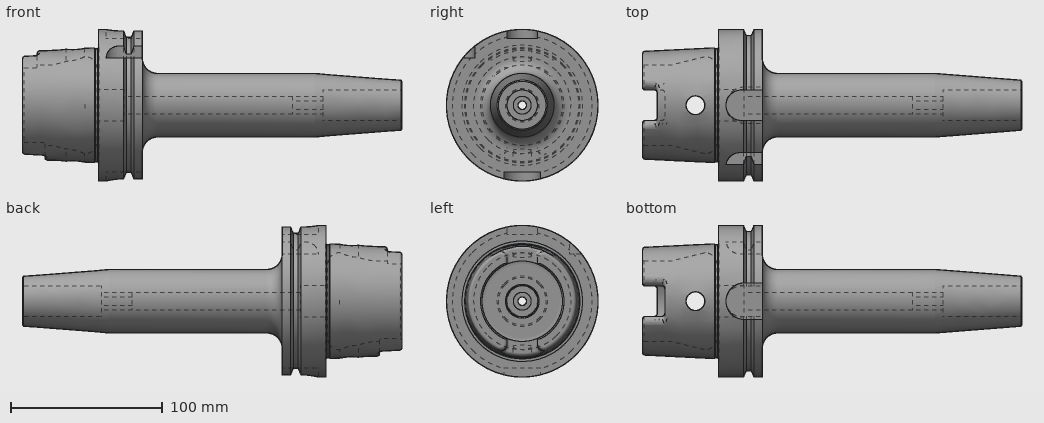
import cadquery as cq
import math


shank_length = 50.0
shank_end_radius = 35.5
taper_slope = 0.05
shank_end_round = 1.8

relief_length = 2.7
relief_radius = 37.3
relief_chamfer = 0.8
relief_land = 1.2
recess_depth = 0.4
recess_inner_radius = 38.0
recess_outer_radius = 39.7

flange_radius = 50.0
flange_width = 29.0
groove_position = 20.0
groove_mouth_width = 6.8
groove_throat_width = 4.2
groove_throat_radius = 46.8
groove_floor_width = 3.2
groove_floor_radius = 46.0

nose_length = 200.0
neck_radius = 21.0
neck_fillet = 10.0
tip_radius = 16.5
tip_taper_angle = 4.5
tip_chamfer = 0.8

mouth_radius = 26.5
mouth_chamfer = 1.0
clamp_edge_depth = 19.0
undercut_radius = 32.0
cavity_depth = 49.0
cavity_fillet = 7.7
coolant_seat_radius = 10.3
coolant_seat_depth = 18.0
coolant_seat_chamfer = 0.8

tool_bore_radius = 10.0
tool_bore_depth = 52.0
screw_radius = 5.9
screw_length = 20.0
screw_hole_radius = 2.75

drive_slot_width = 20.0
upper_slot_depth = 9.7
lower_slot_depth = 14.7
drive_slot_mouth_round = 4.0
drive_slot_floor_round = 2.0

cross_hole_x = -15.1
cross_hole_radius = 6.1

pocket_start_x = 5.0
pocket_floor_height = 44.0
upper_pocket_width = 20.0
lower_pocket_width = 24.0
notch_offset = 31.25
notch_corner_radius = 9.0

cavity_floor_x = cavity_depth - shank_length
seat_floor_x = cavity_floor_x + coolant_seat_depth
tool_bore_floor_x = nose_length - tool_bore_depth
screw_start_x = tool_bore_floor_x - screw_length

selection_margin = 0.01
arc_middle = math.sqrt(0.5)


def spin_about_x(profile):
    return profile.close().revolve(360, (0, 0, 0), (1, 0, 0))


def rod(start_x, length, radius):
    return cq.Workplane("YZ").workplane(offset=start_x).circle(radius).extrude(length)


def turned_blank():
    """Solid of revolution: taper shank, relief, grooved flange, neck and tapered tip."""
    taper_end_radius = shank_end_radius + taper_slope * (shank_length - relief_length)
    relief_start_x = relief_chamfer - relief_length
    tip_taper_length = (neck_radius - tip_radius) / math.tan(math.radians(tip_taper_angle))
    fillet_sag = neck_fillet * (1 - arc_middle)
    profile = (
        cq.Workplane("XY")
        .moveTo(-shank_length, 0)
        .lineTo(-shank_length, shank_end_radius)
        .lineTo(-relief_length, taper_end_radius)
        .lineTo(relief_start_x, relief_radius)
        .lineTo(relief_start_x + relief_land, relief_radius)
        .lineTo(recess_depth, recess_inner_radius)
        .lineTo(recess_depth, recess_outer_radius)
        .lineTo(0, recess_outer_radius)
        .lineTo(0, flange_radius)
        .lineTo(groove_position - groove_mouth_width / 2, flange_radius)
        .lineTo(groove_position - groove_throat_width / 2, groove_throat_radius)
        .lineTo(groove_position - groove_floor_width / 2, groove_floor_radius)
        .lineTo(groove_position + groove_floor_width / 2, groove_floor_radius)
        .lineTo(groove_position + groove_throat_width / 2, groove_throat_radius)
        .lineTo(groove_position + groove_mouth_width / 2, flange_radius)
        .lineTo(flange_width, flange_radius)
        .lineTo(flange_width, neck_radius + neck_fillet)
        .threePointArc(
            (flange_width + fillet_sag, neck_radius + fillet_sag),
            (flange_width + neck_fillet, neck_radius),
        )
        .lineTo(nose_length - tip_taper_length, neck_radius)
        .lineTo(nose_length, tip_radius)
        .lineTo(nose_length, 0)
    )
    return spin_about_x(profile).faces(">X").chamfer(tip_chamfer)


def drive_slot(depth, side):
    """Square slot in the shank end, above the axis for side 1 and below it for side -1."""
    return (
        cq.Workplane("XY")
        .box(depth, drive_slot_width, flange_radius, centered=(False, True, True))
        .translate((-shank_length, 0, side * flange_radius / 2))
    )


def slot_floor_side(depth, side):
    """Selector for the edges of a slot floor that lie along its wall on one side."""
    floor_x = depth - shank_length
    near_y = side * drive_slot_width / 4
    far_y = side * drive_slot_width
    return cq.selectors.BoxSelector(
        (floor_x - selection_margin, near_y, -flange_radius),
        (floor_x + selection_margin, far_y, flange_radius),
    )


def with_drive_slots(body):
    """Cut both slots while the shank is solid, then round their mouths, floors and end edges."""
    slotted = body.cut(drive_slot(upper_slot_depth, 1)).cut(drive_slot(lower_slot_depth, -1))
    mouth_rounded = slotted.edges("%HYPERBOLA").fillet(drive_slot_mouth_round)
    floor_corners = []
    for depth in (upper_slot_depth, lower_slot_depth):
        for side in (1, -1):
            floor_corners += mouth_rounded.edges(slot_floor_side(depth, side)).vals()
    floor_rounded = mouth_rounded.newObject(floor_corners).fillet(drive_slot_floor_round)
    return floor_rounded.faces("<X").edges().fillet(shank_end_round)


def clamping_cavity():
    """Shank bore that opens into an undercut, with a rounded floor and the coolant seat."""
    fillet_sag = cavity_fillet * (1 - arc_middle)
    profile = (
        cq.Workplane("XY")
        .moveTo(-shank_length, 0)
        .lineTo(-shank_length, mouth_radius + mouth_chamfer)
        .lineTo(mouth_chamfer - shank_length, mouth_radius)
        .lineTo(clamp_edge_depth - shank_length, mouth_radius)
        .lineTo(cavity_floor_x - cavity_fillet, undercut_radius)
        .threePointArc(
            (cavity_floor_x - fillet_sag, undercut_radius - fillet_sag),
            (cavity_floor_x, undercut_radius - cavity_fillet),
        )
        .lineTo(cavity_floor_x, coolant_seat_radius + coolant_seat_chamfer)
        .lineTo(cavity_floor_x + coolant_seat_chamfer, coolant_seat_radius)
        .lineTo(seat_floor_x, coolant_seat_radius)
        .lineTo(seat_floor_x, 0)
    )
    return spin_about_x(profile)


def cross_hole():
    return (
        cq.Workplane("XY")
        .center(cross_hole_x, 0)
        .circle(cross_hole_radius)
        .extrude(flange_radius, both=True)
    )


def flange_pocket(width):
    """Flat pocket in the top of the rim, round toward the shank and open toward the nose."""
    end_radius = width / 2
    round_centre_x = pocket_start_x + end_radius
    return (
        cq.Workplane("XY")
        .workplane(offset=pocket_floor_height)
        .moveTo(flange_width, end_radius)
        .lineTo(round_centre_x, end_radius)
        .threePointArc((pocket_start_x, 0), (round_centre_x, -end_radius))
        .lineTo(flange_width, -end_radius)
        .close()
        .extrude(flange_radius - pocket_floor_height)
    )


def orientation_notch():
    """Right-angled notch in the upper -Y part of the rim, with a rounded inner corner."""
    wall_y = -notch_offset
    corner_x = pocket_start_x + notch_corner_radius
    arc_sag = notch_corner_radius * (1 - arc_middle)
    return (
        cq.Workplane("XY")
        .workplane(offset=notch_offset)
        .moveTo(flange_width, wall_y)
        .lineTo(corner_x, wall_y)
        .threePointArc(
            (pocket_start_x + arc_sag, wall_y - arc_sag),
            (pocket_start_x, wall_y - notch_corner_radius),
        )
        .lineTo(pocket_start_x, -flange_radius)
        .lineTo(flange_width, -flange_radius)
        .close()
        .extrude(flange_radius - notch_offset)
    )


def make_holder():
    return (
        with_drive_slots(turned_blank())
        .cut(clamping_cavity())
        .cut(cross_hole())
        .cut(flange_pocket(upper_pocket_width))
        .cut(flange_pocket(lower_pocket_width).mirror("XY"))
        .cut(orientation_notch())
        .cut(rod(tool_bore_floor_x, tool_bore_depth, tool_bore_radius))
        .cut(rod(seat_floor_x, tool_bore_floor_x - seat_floor_x, screw_radius))
    )


def make_stop_screw():
    """Hollow screw that fills the inner end of the bore behind the tool."""
    body = rod(screw_start_x, screw_length, screw_radius)
    return body.cut(rod(screw_start_x, screw_length, screw_hole_radius))


holder = make_holder()
stop_screw = make_stop_screw()

result = cq.Compound.makeCompound([holder.val(), stop_screw.val()])